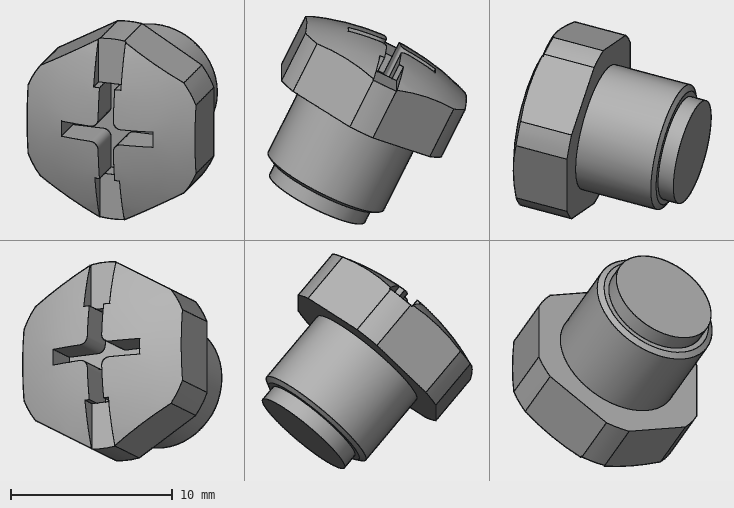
import cadquery as cq

across_flats = 11.0
across_corners = 11.89
head_height = 4.6
dome_radius = 15.0
shank_diameter = 8.0
shank_length = 5.18
shank_chamfer_length = 0.21
shank_chamfer_depth = 0.37
tip_diameter = 6.6
tip_length = 1.01

cross_span = 5.99
cross_width = 1.0
cross_fillet = 0.5
cross_depth = 2.5
pocket_depth = 1.3
upper_pocket_width = 1.78
lower_pocket_width = 1.62

shank_radius = shank_diameter / 2
tip_radius = tip_diameter / 2
corner_radius = across_corners / 2
tip_end = shank_length + tip_length
apex_y = -head_height


def along_y(start):
    """Sketch plane at Y = start, with X to the right and extrusion towards -Y."""
    return cq.Workplane("XZ", origin=(0, start, 0))


def make_head():
    """Hexagon with rounded corners and a spherical crown; two flats face +X and -X."""
    hexagon = along_y(0).polygon(6, across_flats, circumscribed=True).extrude(head_height)
    round_limit = along_y(0).circle(corner_radius).extrude(head_height)
    crown = cq.Workplane("XY").sphere(dome_radius).translate((0, apex_y + dome_radius, 0))
    return hexagon.intersect(round_limit).intersect(crown)


def make_stem():
    """Chamfered shank with a smaller plain tip, turned around the Y axis."""
    profile = (
        cq.Workplane("XY")
        .lineTo(shank_radius, 0)
        .lineTo(shank_radius, shank_length - shank_chamfer_length)
        .lineTo(shank_radius - shank_chamfer_depth, shank_length)
        .lineTo(tip_radius, shank_length)
        .lineTo(tip_radius, tip_end)
        .lineTo(0, tip_end)
        .close()
    )
    return profile.revolve(360, (0, 0, 0), (0, 1, 0))


def make_cross():
    """Cross recess with rounded inner corners."""
    floor = along_y(apex_y + cross_depth)
    across = floor.rect(cross_span, cross_width).extrude(cross_depth)
    upright = floor.rect(cross_width, cross_span).extrude(cross_depth)
    corner_reach = cross_width
    inner_corners = cq.selectors.BoxSelector(
        (-corner_reach, apex_y, -corner_reach),
        (corner_reach, apex_y + cross_depth, corner_reach),
    )
    return across.union(upright).edges("|Y").edges(inner_corners).fillet(cross_fillet)


def make_pocket(width, side):
    """Pocket from the end of the cross out through a head corner; side is +1 (up) or -1 (down)."""
    length = corner_radius
    middle_z = side * (cross_span / 2 + length / 2)
    return along_y(apex_y + pocket_depth).center(0, middle_z).rect(width, length).extrude(pocket_depth)


result = (
    make_head()
    .union(make_stem())
    .cut(make_cross())
    .cut(make_pocket(upper_pocket_width, 1))
    .cut(make_pocket(lower_pocket_width, -1))
)